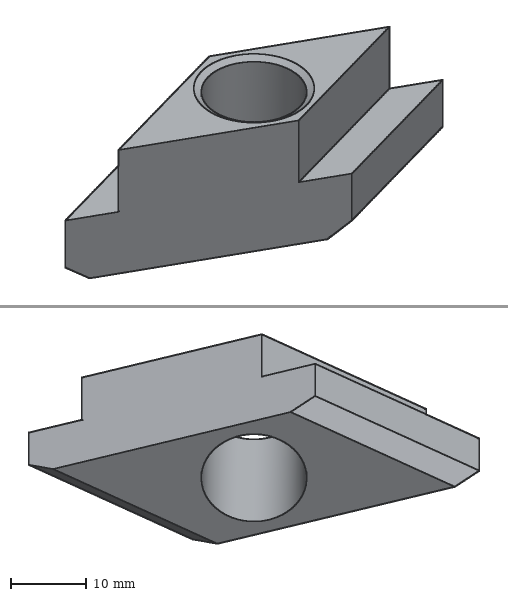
import cadquery as cq
import math

base_width = 28.0
neck_width = 17.6
body_width = 17.6
end_angle = 45.0
base_height = 10.0
total_height = 20.0
bottom_chamfer = 2.4
bore_diameter = 14.0
countersink_diameter = 16.0
countersink_angle = 120.0

end_slope = math.tan(math.radians(end_angle))
side_length = body_width / math.cos(math.radians(end_angle))
body_length = side_length + base_width * end_slope


def make_tee_profile():
    """T-shaped cross-section in XZ, extruded along Y and centred on the origin."""
    half_base = base_width / 2
    half_neck = neck_width / 2
    half_foot = half_base - bottom_chamfer
    outline = [
        (-half_foot, 0),
        (half_foot, 0),
        (half_base, bottom_chamfer),
        (half_base, base_height),
        (half_neck, base_height),
        (half_neck, total_height),
        (-half_neck, total_height),
        (-half_neck, base_height),
        (-half_base, base_height),
        (-half_base, bottom_chamfer),
    ]
    return cq.Workplane("XZ").polyline(outline).close().extrude(body_length / 2, both=True)


def make_plan_prism():
    """Parallelogram in XY with two sides along Y and two slanted ends."""
    half_base = base_width / 2
    half_side = side_length / 2
    end_rise = half_base * end_slope
    corners = [
        (-half_base, -end_rise - half_side),
        (half_base, end_rise - half_side),
        (half_base, end_rise + half_side),
        (-half_base, -end_rise + half_side),
    ]
    return cq.Workplane("XY").polyline(corners).close().extrude(total_height)


def cut_bore(body):
    """Through bore with a shallow conical countersink at the top."""
    return (
        body.faces(">Z")
        .workplane(origin=(0, 0, total_height))
        .cskHole(bore_diameter, countersink_diameter, countersink_angle)
    )


nut_body = make_tee_profile().intersect(make_plan_prism())
result = cut_bore(nut_body)